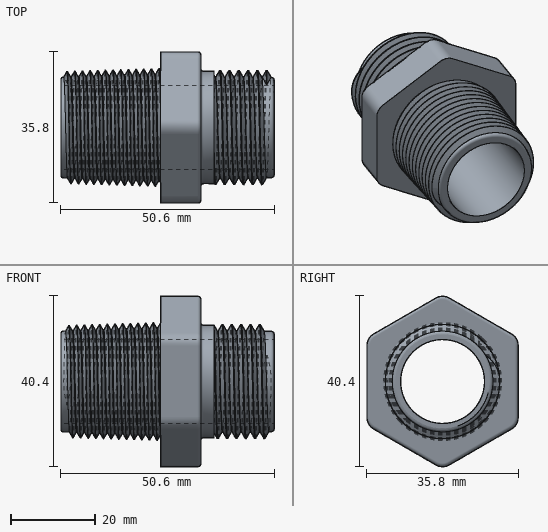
import cadquery as cq
import math

total_length = 50.55
pipe_length = 23.6
hex_length = 9.6
neck_length = 3.1
hex_end = pipe_length + hex_length
neck_end = hex_end + neck_length

bore_diameter = 19.81

hex_across_flats = 35.84
hex_height = 40.4
hex_edge_fillet = 0.8
hex_sharp_height = hex_across_flats * 2 / math.sqrt(3)
hex_corner_radius = (hex_sharp_height - hex_height) / 2 / (2 / math.sqrt(3) - 1)

neck_diameter = 26.67
neck_fillet = 0.6

flank_angle = math.radians(30)
root_overlap = 0.08

run_out_axis_offset = 6.15
run_out_angle = 65

pipe_pitch = 25.4 / 14
pipe_taper = 1 / 32
pipe_root_radius = 11.95
pipe_thread_depth = 1.3
pipe_crest_width = 0.1
pipe_thread_start = 1.5
pipe_thread_turns = 13
pipe_tip_fillet = 0.65

hose_pitch = 25.4 / 11.5
hose_root_radius = 11.92
hose_crest_radius = 13.55
hose_crest_width = 0.22
hose_thread_end = total_length - 1.8
hose_thread_turns = 6
hose_tip_fillet = 0.8


def ridge_profile(root_radius, depth, crest_width):
    """Trapezoidal ridge section beside the Z axis, centred on the XY plane."""
    root_half_width = crest_width / 2 + (depth + root_overlap) * math.tan(flank_angle)
    inner_radius = root_radius - root_overlap
    crest_radius = root_radius + depth
    return (
        cq.Workplane("XZ")
        .moveTo(inner_radius, -root_half_width)
        .lineTo(crest_radius, -crest_width / 2)
        .lineTo(crest_radius, crest_width / 2)
        .lineTo(inner_radius, root_half_width)
        .close()
    )


def turn_onto_fitting_axis(ridge, start):
    return ridge.rotate((0, 0, 0), (1, 1, 1), 120).translate((start, 0, 0))


def make_ridge(section, start, turns, pitch, taper=0.0):
    """Right-hand ridge around X whose middle begins at X = start on the +Y side.

    The section is a tuple of root radius, depth and crest width.
    """
    root_radius = section[0]
    if taper:
        path = cq.Wire.makeHelix(pitch, turns * pitch, root_radius, angle=math.degrees(math.atan(taper)))
    else:
        path = cq.Wire.makeHelix(pitch, turns * pitch, root_radius)
    ridge = ridge_profile(*section).sweep(cq.Workplane(path), isFrenet=True)
    return turn_onto_fitting_axis(ridge, start)


def make_run_out(section, position, turn_direction):
    """Arc about an off-centre axis that sinks the ridge's open end into the core.

    The turn direction is 1 to leave the +Y side towards +Z and -1 to leave it towards -Z.
    """
    axis_start = (run_out_axis_offset, 0)
    axis_end = (run_out_axis_offset, turn_direction)
    run_out = ridge_profile(*section).revolve(run_out_angle, axis_start, axis_end)
    return turn_onto_fitting_axis(run_out, position)


def cylinder(start, end, radius):
    return cq.Workplane("YZ").workplane(offset=start).circle(radius).extrude(end - start)


def make_pipe_thread():
    end = pipe_length + hex_length / 2
    end_radius = pipe_root_radius + end * pipe_taper
    core = (
        cq.Workplane("XY")
        .polyline([(0, 0), (0, pipe_root_radius), (end, end_radius), (end, 0)])
        .close()
        .revolve(360, (0, 0, 0), (1, 0, 0))
        .edges("<X")
        .fillet(pipe_tip_fillet)
    )
    start_root_radius = pipe_root_radius + pipe_thread_start * pipe_taper
    section = (start_root_radius, pipe_thread_depth, pipe_crest_width)
    ridge = make_ridge(section, pipe_thread_start, pipe_thread_turns, pipe_pitch, pipe_taper)
    run_out = make_run_out(section, pipe_thread_start, -1)
    return core.union(ridge).union(run_out)


def make_hose_thread():
    core = cylinder(neck_end, total_length, hose_root_radius).edges(">X").fillet(hose_tip_fillet)
    section = (hose_root_radius, hose_crest_radius - hose_root_radius, hose_crest_width)
    ridge_start = hose_thread_end - hose_thread_turns * hose_pitch
    ridge = make_ridge(section, ridge_start, hose_thread_turns, hose_pitch)
    ridge = ridge.intersect(cylinder(neck_end, total_length, hex_height))
    run_out = make_run_out(section, hose_thread_end, 1)
    return core.union(ridge).union(run_out)


def make_flange_and_neck():
    flange = (
        cq.Workplane("YZ")
        .workplane(offset=pipe_length)
        .polygon(6, hex_sharp_height)
        .extrude(hex_length)
        .rotate((0, 0, 0), (1, 0, 0), 30)
        .edges("|X")
        .fillet(hex_corner_radius)
        .faces(">X")
        .edges()
        .fillet(hex_edge_fillet)
    )
    body = flange.union(cylinder(pipe_length, neck_end, neck_diameter / 2))
    neck_circles = body.edges("%CIRCLE").edges(cq.selectors.RadiusNthSelector(-1))
    return neck_circles.edges("<X").fillet(neck_fillet)


bore = cylinder(0, total_length, bore_diameter / 2)
fitting = make_flange_and_neck().union(make_pipe_thread()).union(make_hose_thread()).cut(bore)
result = fitting.solids()